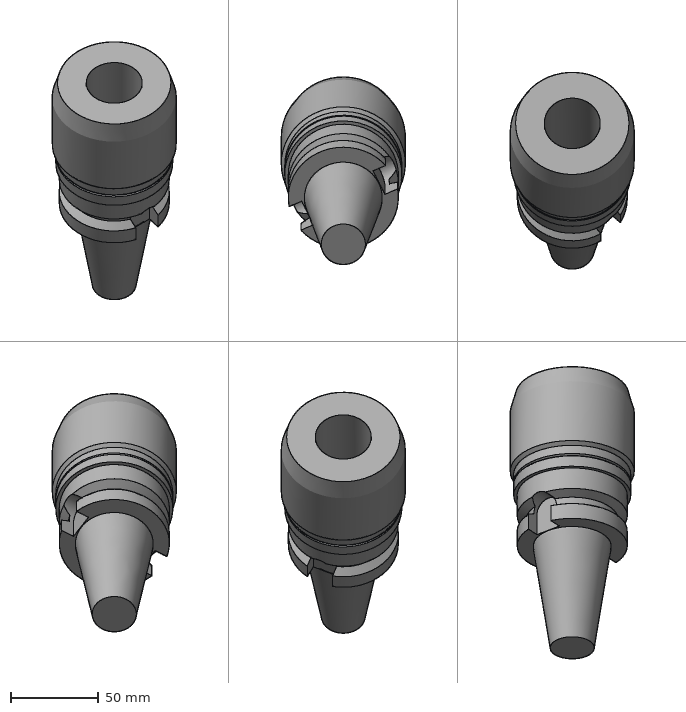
import cadquery as cq
import math


total_height = 167.0

gauge_radius = 44.45 / 2
shank_taper_height = 65.8
shank_taper = 7 / 24
shank_tip_radius = gauge_radius - shank_taper_height * shank_taper / 2

flange_radius = 31.5
flange_bottom = 67.3
flange_top = 77.1
groove_radius = 26.5
groove_flank_angle = 30.0
groove_flank_height = (flange_radius - groove_radius) * math.tan(math.radians(groove_flank_angle))
groove_floor_height = 4.2
groove_floor_bottom = flange_top + groove_flank_height
groove_floor_top = groove_floor_bottom + groove_floor_height
groove_top = groove_floor_top + groove_flank_height

collar_radius = 33.5
collar_bottom = 100.6
notch_bottom = 107.6
notch_depth = 1.2
notch_height = 1.4
notch_slope_height = 1.0
notch_top = notch_bottom + notch_height

head_radius = 71.0 / 2
head_bottom_chamfer = head_radius - collar_radius
head_bottom = 114.4
nose_height = 11.6
nose_angle = 15.0
nose_radius = head_radius - nose_height * math.tan(math.radians(nose_angle))

bore_diameter = 32.0
bore_depth = 80.0

slot_width = 16.1
slot_floor_offset = 22.5
slot_top = 88.5
slot_arc_center = slot_top - slot_width / 2


def make_body():
    """Revolve the (radius, height) outline, drawn on the -X side, about Z."""
    outline = [
        (0, 0),
        (shank_tip_radius, 0),
        (gauge_radius, shank_taper_height),
        (gauge_radius, flange_bottom),
        (flange_radius, flange_bottom),
        (flange_radius, flange_top),
        (groove_radius, groove_floor_bottom),
        (groove_radius, groove_floor_top),
        (flange_radius, groove_top),
        (flange_radius, collar_bottom),
        (collar_radius, collar_bottom),
        (collar_radius, notch_bottom),
        (collar_radius - notch_depth, notch_bottom),
        (collar_radius - notch_depth, notch_top - notch_slope_height),
        (collar_radius, notch_top),
        (collar_radius, head_bottom),
        (head_radius, head_bottom + head_bottom_chamfer),
        (head_radius, total_height - nose_height),
        (nose_radius, total_height),
        (0, total_height),
    ]
    points = [(-radius, height) for radius, height in outline]
    return cq.Workplane("XZ").polyline(points).close().revolve(360, (0, 0, 0), (0, 1, 0))


def make_bore():
    """Blind bore from the top face."""
    return (
        cq.Workplane("XY", origin=(0, 0, total_height - bore_depth))
        .circle(bore_diameter / 2)
        .extrude(bore_depth)
    )


def make_slot(side):
    """Cutter for one drive slot; side is -1 for -X and +1 for +X."""
    half_width = slot_width / 2
    cut_length = head_radius - slot_floor_offset
    return (
        cq.Workplane("YZ", origin=(side * slot_floor_offset, 0, 0))
        .moveTo(-half_width, flange_bottom)
        .lineTo(half_width, flange_bottom)
        .lineTo(half_width, slot_arc_center)
        .threePointArc((0, slot_top), (-half_width, slot_arc_center))
        .close()
        .extrude(side * cut_length)
    )


result = make_body().cut(make_bore())
for side in (-1, 1):
    result = result.cut(make_slot(side))